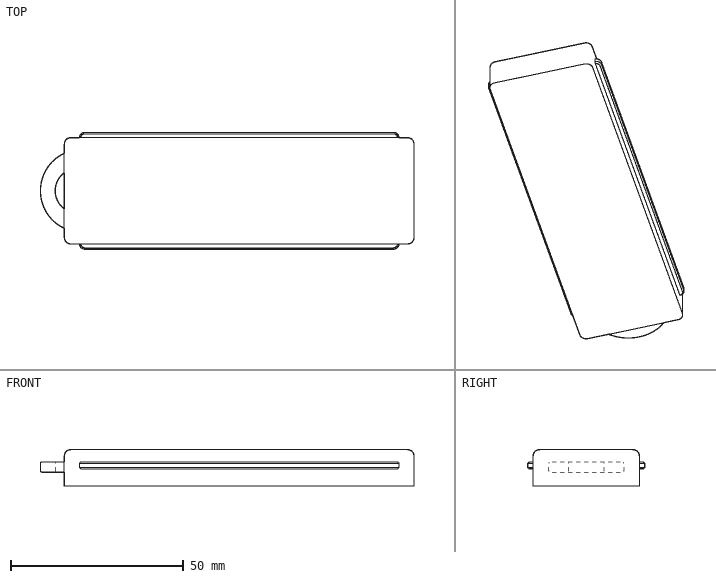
import cadquery as cq

total_length = 108.5
total_width = 34.0
height = 10.6

case_length = 101.6
case_width = 30.9
case_radius = 2.0

rail_length = 92.8
rail_top = 7.0
rail_thickness = 2.1
rail_corner_radius = 1.6
rail_edge_chamfer = 0.4

ring_outer_radius = 12.0
ring_hole_radius = 6.5
ring_wall = 4.3
ring_top = rail_top
ring_thickness = 3.0
ring_edge_radius = 0.5

ring_reach = total_length - case_length
ring_tip_x = -case_length / 2 - ring_reach
ring_center_x = ring_tip_x + ring_outer_radius
ring_hole_x = ring_tip_x + ring_wall + ring_hole_radius


def make_case():
    block = cq.Workplane("XY").box(case_length, case_width, height, centered=(True, True, False))
    return block.edges("|Z or >Z").fillet(case_radius)


def make_rails():
    """One plate through the case; only its two long rims stand out."""
    plate = (
        cq.Workplane("XY", origin=(0, 0, rail_top - rail_thickness))
        .box(rail_length, total_width, rail_thickness, centered=(True, True, False))
    )
    plate = plate.edges("|Z").fillet(rail_corner_radius)
    return plate.faces("<Z or >Z").edges().chamfer(rail_edge_chamfer)


def make_ring():
    """Round ring partly buried in the case."""
    disc = (
        cq.Workplane("XY", origin=(ring_center_x, 0, ring_top - ring_thickness))
        .circle(ring_outer_radius)
        .extrude(ring_thickness)
        .edges()
        .fillet(ring_edge_radius)
    )
    hole = (
        cq.Workplane("XY", origin=(ring_hole_x, 0, 0))
        .circle(ring_hole_radius)
        .extrude(height)
    )
    return disc.cut(hole)


result = make_case().union(make_rails()).union(make_ring())